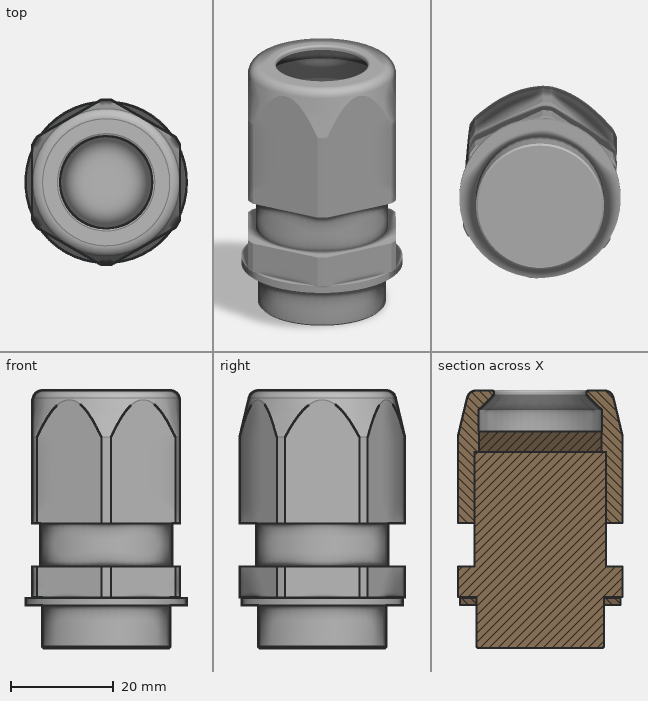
import cadquery as cq
import math

total_height = 50.38
washer_bottom = 8.38
washer_thickness = 1.5
washer_top = washer_bottom + washer_thickness
collar_gap = 0.1
collar_bottom = washer_top + collar_gap
collar_top = 16.0
nut_bottom = 24.4
seal_top = 42.35
seal_height = 4.0
barrel_top = seal_top - seal_height

shank_radius = 12.5
shank_chamfer = 0.35
washer_radius = 15.75
barrel_radius = 12.9
nut_bore_radius = 12.0

across_flats = 28.85
corner_radius = 16.145
across_corners = across_flats / math.cos(math.radians(30))

crown_angle = math.radians(13.3)
crown_round = 2.0
top_face_radius = 12.4
mouth_radius = 9.5
mouth_round = 0.5
lip_thickness = 0.9


def rounded_hexagon(bottom, top):
    """Hexagonal prism whose corners are turned down to corner_radius."""
    height = top - bottom
    base = cq.Workplane("XY").workplane(offset=bottom)
    turned = base.circle(corner_radius).extrude(height)
    prism = base.transformed(rotate=(0, 0, 90)).polygon(6, across_corners).extrude(height)
    return prism.intersect(turned)


def cylinder(radius, bottom, top):
    return cq.Workplane("XY").workplane(offset=bottom).circle(radius).extrude(top - bottom)


def make_body():
    """Solid gland body: entry shank, hexagonal collar and barrel."""
    shank = cylinder(shank_radius, 0, collar_bottom).faces("<Z").chamfer(shank_chamfer)
    collar = rounded_hexagon(collar_bottom, collar_top)
    barrel = cylinder(barrel_radius, collar_top, barrel_top)
    return shank.union(collar).union(barrel)


def make_washer():
    """Flat washer around the shank, a hair below the collar."""
    washer = cylinder(washer_radius, washer_bottom, washer_top)
    return washer.cut(cylinder(shank_radius, washer_bottom, washer_top))


def make_seal():
    """Plain sealing insert on top of the barrel; its flat top closes the nut's bore."""
    return cylinder(nut_bore_radius, barrel_top, seal_top)


def make_nut():
    """Hexagonal cap nut with a coned crown, fitted over the barrel and the seal."""
    round_center_z = total_height - crown_round
    tangent_radius = top_face_radius + crown_round * math.cos(crown_angle)
    tangent_z = round_center_z + crown_round * math.sin(crown_angle)
    cone_base_z = tangent_z - (corner_radius - tangent_radius) / math.tan(crown_angle)
    round_middle_angle = (crown_angle + math.pi / 2) / 2
    round_middle = (
        top_face_radius + crown_round * math.cos(round_middle_angle),
        round_center_z + crown_round * math.sin(round_middle_angle),
    )
    envelope = (
        cq.Workplane("XZ")
        .moveTo(0, nut_bottom)
        .lineTo(corner_radius, nut_bottom)
        .lineTo(corner_radius, cone_base_z)
        .lineTo(tangent_radius, tangent_z)
        .threePointArc(round_middle, (top_face_radius, total_height))
        .lineTo(0, total_height)
        .close()
        .revolve(360, (0, 0, 0), (0, 1, 0))
    )
    nut = rounded_hexagon(nut_bottom, total_height).intersect(envelope)

    mouth_bore_radius = mouth_radius - mouth_round
    bore_cone_base_z = total_height - lip_thickness - (nut_bore_radius - mouth_bore_radius)
    mouth_middle_offset = mouth_round * math.sqrt(0.5)
    cavity = (
        cq.Workplane("XZ")
        .moveTo(0, nut_bottom)
        .lineTo(barrel_radius, nut_bottom)
        .lineTo(barrel_radius, barrel_top)
        .lineTo(nut_bore_radius, barrel_top)
        .lineTo(nut_bore_radius, bore_cone_base_z)
        .lineTo(mouth_bore_radius, total_height - lip_thickness)
        .lineTo(mouth_bore_radius, total_height - mouth_round)
        .threePointArc(
            (mouth_radius - mouth_middle_offset, total_height - mouth_round + mouth_middle_offset),
            (mouth_radius, total_height),
        )
        .lineTo(0, total_height)
        .close()
        .revolve(360, (0, 0, 0), (0, 1, 0))
    )
    return nut.cut(cavity)


body = make_body()
washer = make_washer()
seal = make_seal()
nut = make_nut()
result = cq.Compound.makeCompound([body.val(), washer.val(), seal.val(), nut.val()])